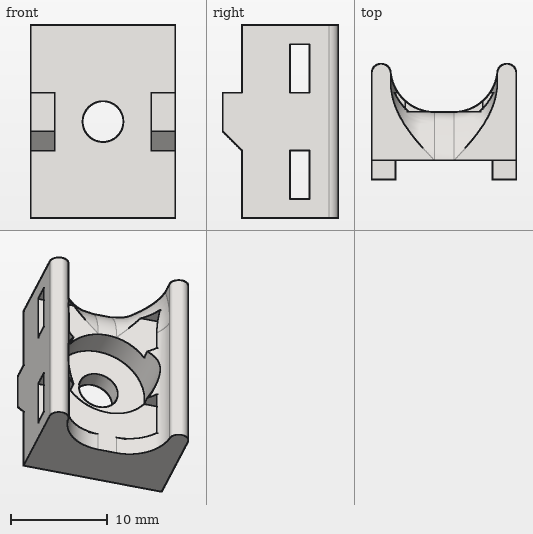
import cadquery as cq
import math

width = 15.0
depth = 10.0
height = 20.0

wall_thickness = 2.0
tip_radius = wall_thickness / 2
tip_y = depth - tip_radius

channel_half_width = width / 2 - wall_thickness
floor_y = 5.0
floor_half_width = 1.0
arc_run = channel_half_width - floor_half_width
arc_rise = tip_y - floor_y
channel_radius = (arc_run**2 + arc_rise**2) / (2 * arc_rise)

flare_radius = floor_y

screw_hole_diameter = 4.2
head_recess_diameter = 10.0
head_recess_floor_y = 2.0

slot_depth = 2.0
slot_height = 5.0
slot_y = floor_y
slot_end_gap = 2.0

tab_width = 2.5
tab_depth = 2.0
tab_bottom = 7.0
tab_top = 13.0


def box(x_size, y_size, z_size, y_start, z_start):
    """Box centred on x = 0."""
    blank = cq.Workplane("XY").box(x_size, y_size, z_size, centered=(True, False, False))
    return blank.translate((0, y_start, z_start))


def channel_section(base_y):
    """Area between the channel curve and a straight line at base_y."""
    half_angle = math.atan2(arc_rise, arc_run)
    mid_x = floor_half_width + channel_radius * math.sin(half_angle)
    mid_y = floor_y + channel_radius * (1 - math.cos(half_angle))
    return (
        cq.Workplane("XY")
        .moveTo(-channel_half_width, base_y)
        .lineTo(-channel_half_width, tip_y)
        .threePointArc((-mid_x, mid_y), (-floor_half_width, floor_y))
        .lineTo(floor_half_width, floor_y)
        .threePointArc((mid_x, mid_y), (channel_half_width, tip_y))
        .lineTo(channel_half_width, base_y)
        .close()
    )


def rounded_block():
    block = box(width, tip_y, height, 0, 0)
    tip_x = width / 2 - tip_radius
    tip_centres = [(-tip_x, tip_y), (tip_x, tip_y)]
    tips = cq.Workplane("XY").pushPoints(tip_centres).circle(tip_radius).extrude(height)
    return block.union(tips)


def channel_cutters():
    flare_start = height - flare_radius
    straight = channel_section(depth).extrude(flare_start)
    saddle = channel_section(0).revolve(360, (0, 0, 0), (1, 0, 0)).translate((0, 0, flare_start))
    flare = box(2 * channel_half_width, depth, flare_radius, 0, flare_start).cut(saddle)
    return straight, flare


def bore(diameter, start_y):
    """Round cutter along +Y at mid height, from start_y to the open side."""
    disc = cq.Workplane("XZ", origin=(0, start_y, height / 2)).circle(diameter / 2)
    return disc.extrude(start_y - depth)


def tab(x_start):
    outline = [
        (0, tab_bottom),
        (-tab_depth, tab_bottom + tab_depth),
        (-tab_depth, tab_top),
        (0, tab_top),
    ]
    return cq.Workplane("YZ").polyline(outline).close().extrude(tab_width).translate((x_start, 0, 0))


result = rounded_block()
for cutter in channel_cutters():
    result = result.cut(cutter)

result = result.cut(bore(screw_hole_diameter, 0))
result = result.cut(bore(head_recess_diameter, head_recess_floor_y))

for slot_bottom in (slot_end_gap, height - slot_end_gap - slot_height):
    result = result.cut(box(width, slot_depth, slot_height, slot_y, slot_bottom))

for tab_x in (-width / 2, width / 2 - tab_width):
    result = result.union(tab(tab_x))